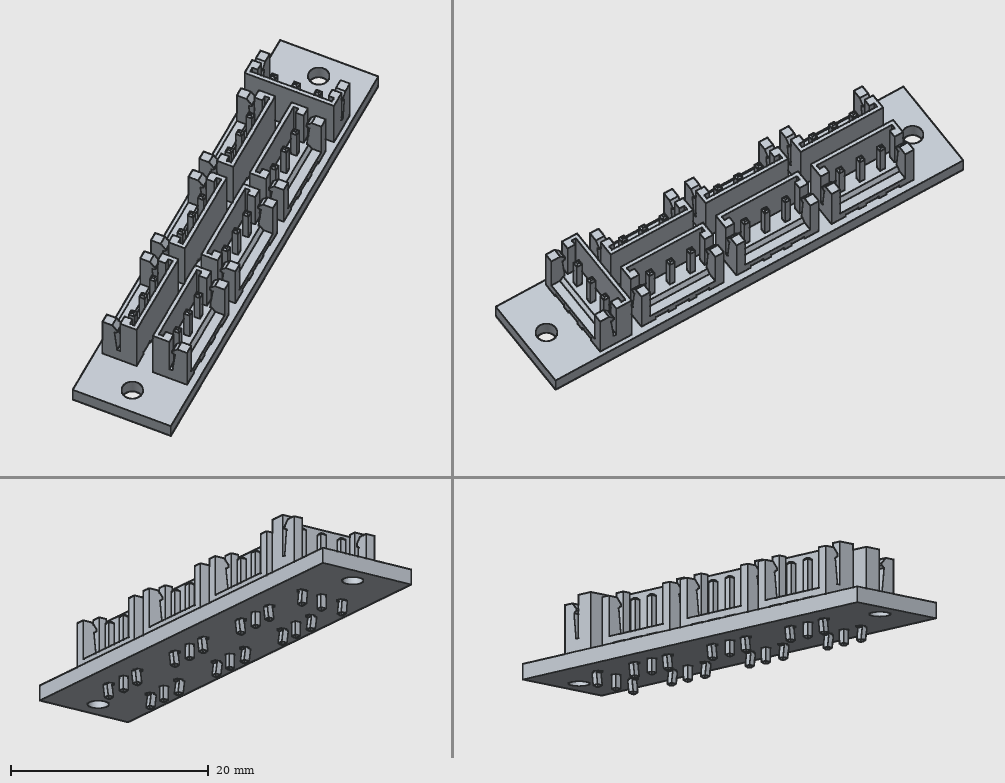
import cadquery as cq

BOARD_WIDTH = 11.0
BOARD_LENGTH = 49.5
BOARD_THICKNESS = 1.65
MOUNT_HOLE_DIAMETER = 2.2
MOUNT_HOLE_Y = 22.25
PIN_HOLE_DIAMETER = 0.95

HOUSING_LENGTH = 10.0
HOUSING_HEIGHT = 6.0
FRONT_Y = 2.25
BACK_Y = -1.6
WALL = 0.45
END_WALL = 1.05
FLOOR_HEIGHT = 1.5
BACK_POCKET_DEPTH = 0.5
SILL_HEIGHT = 1.05
SILL_EDGE_Y = 1.2
SILL_FOOT_Y = 0.8

LATCH_HEIGHT = 5.25
LATCH_TOP_EDGE_Y = 1.15
LATCH_NOSE_Y = 0.55
LATCH_NOSE_TOP = 4.6
LATCH_NOSE_BOTTOM = 4.4
LATCH_NECK_Y = 0.9
LATCH_NECK_HEIGHT = 4.15
SLIT_BACK_Y = 0.25
SLIT_FRONT_Y = 0.6

NOTCH_WIDTH = 1.55
NOTCH_HEIGHT = 0.3

PIN_COUNT = 3
PIN_PITCH = 2.48
PIN_SIZE = 0.65
PIN_TOP = 5.1
PIN_TIP_CHAMFER = 0.2
PIN_PROTRUSION = 1.6
KINK_OFFSET = 0.25
KINK_DROP = 0.1
KINK_TIP_OFFSET = 0.05

CROSS_CONNECTOR_Y = 16.8
SIDE_BACK_GAP = 1.85
SIDE_FIRST_Y = 8.8
SIDE_SPACING = 11.55
SIDE_COUNT = 3

SIDE_ROW_X = SIDE_BACK_GAP / 2 - BACK_Y
PIN_XS = [(i - (PIN_COUNT - 1) / 2) * PIN_PITCH for i in range(PIN_COUNT)]

PLACES = [(0, CROSS_CONNECTOR_Y, 0)]
for row in range(SIDE_COUNT):
    row_y = SIDE_FIRST_Y - row * SIDE_SPACING
    PLACES.append((-SIDE_ROW_X, row_y, 90))
    PLACES.append((SIDE_ROW_X, row_y, -90))


def extrude_along_x(outline, length):
    """Extrude an outline drawn in the YZ plane, centred on x = 0."""
    return outline.extrude(length / 2, both=True)


def make_end_profile_block():
    """Full-length block with the outline of the end walls: back wall, slit and latch finger."""
    outline = (
        cq.Workplane("YZ")
        .moveTo(BACK_Y, 0)
        .lineTo(FRONT_Y, 0)
        .lineTo(FRONT_Y, LATCH_HEIGHT)
        .lineTo(LATCH_TOP_EDGE_Y, LATCH_HEIGHT)
        .lineTo(LATCH_NOSE_Y, LATCH_NOSE_TOP)
        .lineTo(LATCH_NOSE_Y, LATCH_NOSE_BOTTOM)
        .lineTo(LATCH_NECK_Y, LATCH_NECK_HEIGHT)
        .lineTo(SLIT_FRONT_Y, FLOOR_HEIGHT)
        .lineTo(SLIT_BACK_Y, FLOOR_HEIGHT)
        .lineTo(SLIT_BACK_Y, HOUSING_HEIGHT)
        .lineTo(BACK_Y, HOUSING_HEIGHT)
        .close()
    )
    return extrude_along_x(outline, HOUSING_LENGTH)


def make_cavity():
    """Space between the end walls, open at the front over a low sill with a sloped inner edge."""
    outline = cq.Workplane("YZ").polyline([
        (BACK_Y + WALL, FLOOR_HEIGHT),
        (SILL_FOOT_Y, FLOOR_HEIGHT),
        (SILL_EDGE_Y, SILL_HEIGHT),
        (FRONT_Y, SILL_HEIGHT),
        (FRONT_Y, HOUSING_HEIGHT),
        (BACK_Y + WALL, HOUSING_HEIGHT),
    ]).close()
    return extrude_along_x(outline, HOUSING_LENGTH - 2 * END_WALL)


def make_back_pocket():
    """Wider pocket along the back wall that undercuts both end walls."""
    return cq.Workplane("XY").box(
        HOUSING_LENGTH - 2 * WALL,
        BACK_POCKET_DEPTH,
        HOUSING_HEIGHT - FLOOR_HEIGHT,
        centered=(True, False, False),
    ).translate((0, BACK_Y + WALL, FLOOR_HEIGHT))


def make_notch(x):
    """Notch under the housing at one pin, running from front to back."""
    return cq.Workplane("XY").box(
        NOTCH_WIDTH, FRONT_Y - BACK_Y, NOTCH_HEIGHT, centered=(True, False, False)
    ).translate((x, BACK_Y, 0))


def make_pin(x, kinked):
    """Square pin with tapered ends; a kinked one is bent toward the front just below the board."""
    half = PIN_SIZE / 2
    board_bottom = -BOARD_THICKNESS
    stations = [(0, PIN_TOP)]
    if kinked:
        stations.append((0, board_bottom))
        stations.append((KINK_OFFSET, board_bottom - KINK_DROP))
        stations.append((KINK_TIP_OFFSET, board_bottom - PIN_PROTRUSION))
    else:
        stations.append((0, board_bottom - PIN_PROTRUSION))
    front_edge = [(y + half, z) for y, z in stations]
    back_edge = [(y - half, z) for y, z in reversed(stations)]
    outline = cq.Workplane("YZ").polyline(front_edge + back_edge).close()
    pin = extrude_along_x(outline, PIN_SIZE)
    return pin.faces("<Z or >Z").chamfer(PIN_TIP_CHAMFER).translate((x, 0, 0))


def make_connector():
    """Housing with its pins, as one solid; only the two outer pins are kinked."""
    connector = make_end_profile_block().cut(make_cavity()).cut(make_back_pocket())
    for x in PIN_XS:
        connector = connector.cut(make_notch(x))
    for x in PIN_XS:
        is_outer = x in (PIN_XS[0], PIN_XS[-1])
        connector = connector.union(make_pin(x, kinked=is_outer))
    return connector


def place(shape, x, y, turn):
    """Move a shape from the connector frame to a place on the board."""
    return shape.rotate((0, 0, 0), (0, 0, 1), turn).translate((x, y, 0))


def make_board():
    """Flat board with two mounting holes and a drilled hole for every pin."""
    board = cq.Workplane("XY").box(
        BOARD_WIDTH, BOARD_LENGTH, BOARD_THICKNESS, centered=(True, True, False)
    ).translate((0, 0, -BOARD_THICKNESS))
    mount_holes = (
        cq.Workplane("XY")
        .pushPoints([(0, MOUNT_HOLE_Y), (0, -MOUNT_HOLE_Y)])
        .circle(MOUNT_HOLE_DIAMETER / 2)
        .extrude(-BOARD_THICKNESS)
    )
    pin_holes = (
        cq.Workplane("XY")
        .pushPoints([(x, 0) for x in PIN_XS])
        .circle(PIN_HOLE_DIAMETER / 2)
        .extrude(-BOARD_THICKNESS)
    )
    board = board.cut(mount_holes)
    for x, y, turn in PLACES:
        board = board.cut(place(pin_holes, x, y, turn))
    return board


board = make_board()
connector = make_connector()
connectors = [place(connector, x, y, turn) for x, y, turn in PLACES]

result = cq.Compound.makeCompound([board.solids().val(), *[body.solids().val() for body in connectors]])